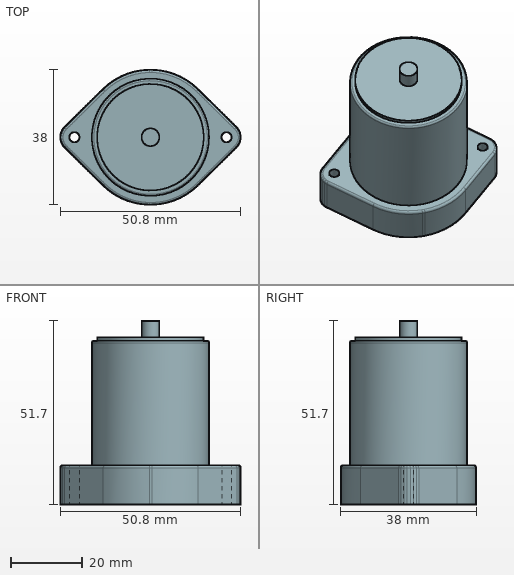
import cadquery as cq
import math

flange_height = 11.1
body_top = 46.05
cap_top = 47.1
shaft_top = 51.7

body_diameter = 33.0
cap_diameter = 30.0
shaft_diameter = 5.0
hole_diameter = 2.8

flange_length = 50.75
flange_radius = 19.0
hole_offset = 21.4
ear_radius = 4.0
ear_facets = 7
side_flat_width = 0.7

flange_fillet = 0.7
body_fillet = 0.5

side_angle = math.acos((flange_radius - ear_radius) / hole_offset)
tangent_x = flange_radius * math.cos(side_angle)
tangent_y = flange_radius * math.sin(side_angle)
flat_x = side_flat_width / 2
flat_y = math.sqrt(flange_radius**2 - flat_x**2)


def ear_corners(direction):
    """Corners of the ear at +X (direction 1) or -X (direction -1), counterclockwise."""
    facet_angle = 2 * side_angle / ear_facets
    center_x = flange_length / 2 - ear_radius * math.cos(facet_angle / 2)
    corners = []
    for i in range(ear_facets + 1):
        angle = -side_angle + i * facet_angle
        x = center_x + ear_radius * math.cos(angle)
        y = ear_radius * math.sin(angle)
        corners.append((direction * x, direction * y))
    return corners


def half_outline(sketch, direction):
    """Add one ear, a straight side, the arc, its flat, and the next straight side."""
    mid_angle = (side_angle + math.acos(flat_x / flange_radius)) / 2
    arc_mid_x = flange_radius * math.cos(mid_angle)
    arc_mid_y = direction * flange_radius * math.sin(mid_angle)
    y_tangent = direction * tangent_y
    y_flat = direction * flat_y
    for corner in ear_corners(direction)[1:]:
        sketch = sketch.lineTo(*corner)
    sketch = sketch.lineTo(direction * tangent_x, y_tangent)
    sketch = sketch.threePointArc((direction * arc_mid_x, arc_mid_y), (direction * flat_x, y_flat))
    sketch = sketch.lineTo(-direction * flat_x, y_flat)
    sketch = sketch.threePointArc((-direction * arc_mid_x, arc_mid_y), (-direction * tangent_x, y_tangent))
    return sketch.lineTo(*ear_corners(-direction)[0])


def make_flange():
    """Two-eared flange with a rounded top edge and a through hole in each ear."""
    outline = cq.Workplane("XY").moveTo(*ear_corners(1)[0])
    outline = half_outline(outline, 1)
    outline = half_outline(outline, -1)
    flange = outline.close().extrude(flange_height)
    flange = flange.faces(">Z").edges().fillet(flange_fillet)
    holes = (
        cq.Workplane("XY")
        .pushPoints([(-hole_offset, 0), (hole_offset, 0)])
        .circle(hole_diameter / 2)
        .extrude(flange_height)
    )
    return flange.cut(holes)


def make_cylinder(diameter, bottom, top):
    """Upright cylinder on the main axis."""
    return cq.Workplane("XY").workplane(offset=bottom).circle(diameter / 2).extrude(top - bottom)


flange = make_flange()
body = make_cylinder(body_diameter, 0, body_top).faces(">Z").edges().fillet(body_fillet)
cap = make_cylinder(cap_diameter, body_top, cap_top)
shaft = make_cylinder(shaft_diameter, cap_top, shaft_top)

result = flange.union(body).union(cap).union(shaft)